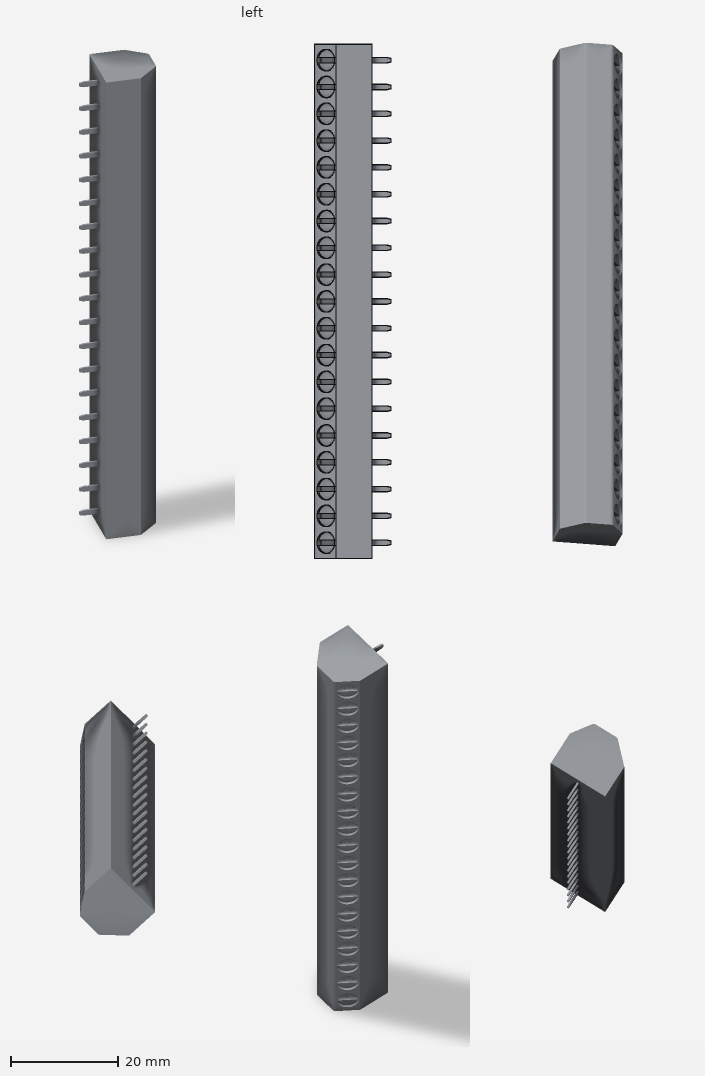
import cadquery as cq
import math

length = 96.0
width = 12.0
body_depth = 10.8
shoulder = 6.7
screw_slope_run = 2.8
plain_slope_run = 4.0
crest_radius = 0.8

contact_count = 19
end_margin = 3.0
pitch = (length - 2 * end_margin) / (contact_count - 1)

recess_diameter = 4.0
recess_depth = 0.5
recess_distance = 2.3
slot_width = 1.0
slot_depth = 0.8

pin_length = 3.6
pin_thickness = 0.4
pin_width = 1.1
pin_taper_length = 0.8
pin_tip_width = 0.7
pin_embed = 1.0

slope_rise = body_depth - shoulder
slope_length = math.hypot(screw_slope_run, slope_rise)
contact_heights = [end_margin + i * pitch for i in range(contact_count)]


def make_housing():
    outline = [
        (0, 0),
        (width, 0),
        (width, shoulder),
        (width - plain_slope_run, body_depth),
        (screw_slope_run, body_depth),
        (0, shoulder),
    ]
    block = cq.Workplane("XY").polyline(outline).close().extrude(length)
    crest_edges = block.faces(">Y").edges("|Z")
    return crest_edges.fillet(crest_radius)


def make_screw_recess(height):
    """Round recess with a screwdriver slot across its floor, as a cutting tool."""
    along_x = screw_slope_run / slope_length
    along_y = slope_rise / slope_length
    face = cq.Plane(
        origin=(recess_distance * along_x, shoulder + recess_distance * along_y, height),
        xDir=(along_x, along_y, 0),
        normal=(-along_y, along_x, 0),
    )
    total_depth = recess_depth + slot_depth
    recess = cq.Workplane(face).circle(recess_diameter / 2).extrude(-recess_depth)
    bar = cq.Workplane(face).rect(recess_diameter, slot_width).extrude(-total_depth)
    slot = cq.Workplane(face).circle(recess_diameter / 2).extrude(-total_depth).intersect(bar)
    return recess.union(slot)


def make_pin(height):
    """Flat pin leaving the rear face, narrowing in Z towards its tip."""
    taper_start = pin_taper_length - pin_length
    outline = [
        (pin_embed, -pin_width / 2),
        (pin_embed, pin_width / 2),
        (taper_start, pin_width / 2),
        (-pin_length, pin_tip_width / 2),
        (-pin_length, -pin_tip_width / 2),
        (taper_start, -pin_width / 2),
    ]
    pin = cq.Workplane("YZ").polyline(outline).close().extrude(pin_thickness / 2, both=True)
    return pin.translate((width / 2, 0, height))


result = make_housing()
for contact_height in contact_heights:
    result = result.cut(make_screw_recess(contact_height))
    result = result.union(make_pin(contact_height))